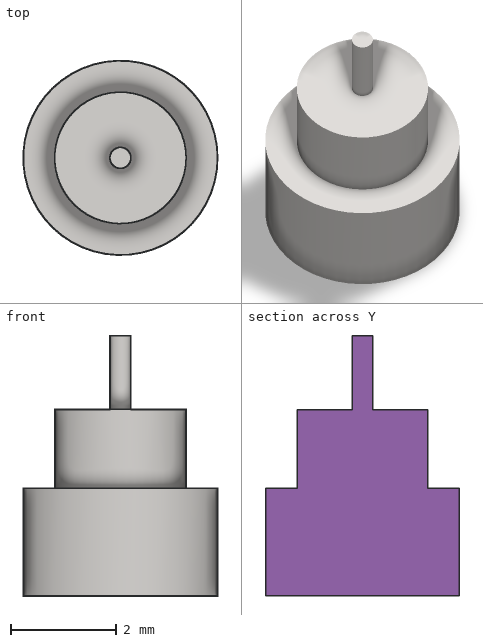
import cadquery as cq


BASE_DIAMETER = 3.7
COLLAR_DIAMETER = 2.5
INSULATOR_DIAMETER = 1.95
PIN_DIAMETER = 0.4

TOTAL_HEIGHT = 4.95
BASE_HEIGHT = 2.05
COLLAR_HEIGHT = 1.5
PIN_HEIGHT = TOTAL_HEIGHT - BASE_HEIGHT - COLLAR_HEIGHT

COLLAR_BOTTOM = BASE_HEIGHT
COLLAR_TOP = COLLAR_BOTTOM + COLLAR_HEIGHT


def cylinder(diameter, bottom, height):
    """Upright cylinder on the Z axis, starting at the given level."""
    return cq.Workplane("XY").workplane(offset=bottom).circle(diameter / 2).extrude(height)


base = cylinder(BASE_DIAMETER, 0, BASE_HEIGHT)
collar = cylinder(COLLAR_DIAMETER, COLLAR_BOTTOM, COLLAR_HEIGHT)
insulator = cylinder(INSULATOR_DIAMETER, COLLAR_BOTTOM, COLLAR_HEIGHT)
pin = cylinder(PIN_DIAMETER, COLLAR_TOP, PIN_HEIGHT)

collar_shell = collar.cut(insulator)
result = (
    base.union(collar_shell, clean=False)
    .union(insulator, clean=False)
    .union(pin, clean=False)
)